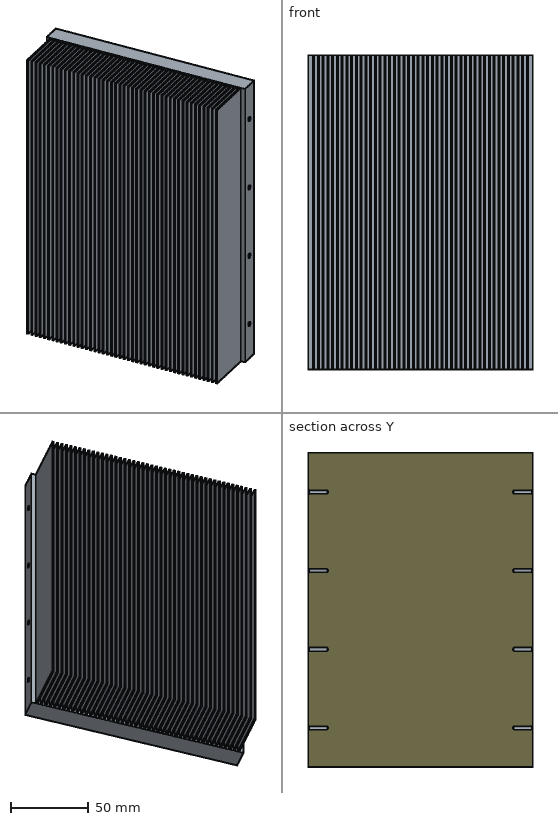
import cadquery as cq
import math

width = 145.0
depth = 45.5
height = 203.2

base_thickness = 12.5
fin_count = 46
fin_thickness = 1.0
fin_span = 139.2
fin_height = depth - base_thickness
fin_pitch = (fin_span - fin_thickness) / (fin_count - 1)

hole_diameter = 2.0
hole_depth = 12.2
drill_point_angle = 118.0
countersink_diameter = 3.0
countersink_angle = 90.0
hole_inset = 6.5
hole_count = 4
hole_pitch = height / hole_count


def make_base():
    """Plate behind the fins, with its back face at the +Y limit of the part."""
    base_center_y = (depth - base_thickness) / 2
    return cq.Workplane("XY", origin=(0, base_center_y, 0)).box(width, base_thickness, height)


def make_fins():
    """Evenly spaced thin plates standing on the -Y face of the base."""
    fin_center_y = (fin_height - depth) / 2
    return (
        cq.Workplane("XY", origin=(0, fin_center_y, -height / 2))
        .rarray(fin_pitch, 2, fin_count, 1)
        .rect(fin_thickness, fin_height)
        .extrude(height)
    )


def make_hole_cutter():
    """Countersink, bore and drill point turned about +X, with the mouth at X = 0."""
    bore_radius = hole_diameter / 2
    mouth_radius = countersink_diameter / 2
    countersink_depth = (mouth_radius - bore_radius) / math.tan(math.radians(countersink_angle / 2))
    point_length = bore_radius / math.tan(math.radians(drill_point_angle / 2))
    half_section = [
        (0, 0),
        (0, mouth_radius),
        (countersink_depth, bore_radius),
        (hole_depth, bore_radius),
        (hole_depth + point_length, 0),
    ]
    return cq.Workplane("XY").polyline(half_section).close().revolve(360, (0, 0, 0), (1, 0, 0))


def make_side_holes():
    """Row of hole cutters for each side of the base, mirrored about the YZ plane."""
    cutter = make_hole_cutter().val()
    first_z = -hole_pitch * (hole_count - 1) / 2
    holes = cq.Workplane("XY")
    for index in range(hole_count):
        mouth = cq.Vector(-width / 2, depth / 2 - hole_inset, first_z + index * hole_pitch)
        hole = cutter.translate(mouth)
        holes = holes.add(hole).add(hole.mirror("YZ"))
    return holes.combine()


result = make_base().union(make_fins()).cut(make_side_holes())